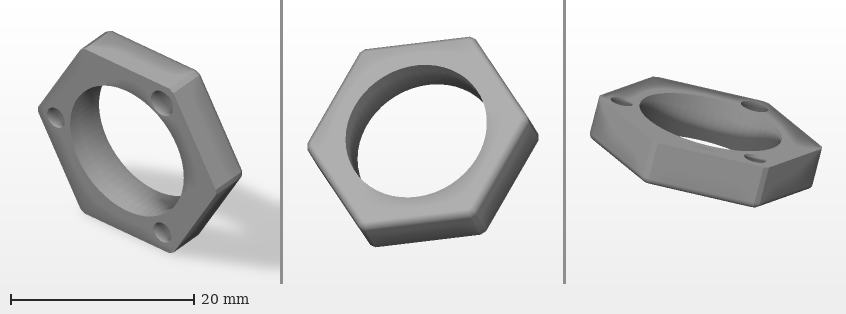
import cadquery as cq
import math

thickness = 5.0
across_flats = 22.0
across_corners = 25.0
back_edge_radius = 0.75
bore_diameter = 16.0

small_hole_pitch_radius = 10.0
large_hole_pitch_radius = 9.9
small_hole_diameter = 2.5
small_hole_depth = 2.5
small_hole_floor_radius = 0.35
small_hole_angles = (180.0, 300.0)
large_hole_diameter = 3.12
large_hole_depth = 2.5
large_hole_angle = 60.0


def front_plane():
    """Workplane on the front face; its normal is -Y, so negative extrusions run into the plate."""
    return cq.Workplane("XZ")


def disc(diameter, length):
    """Cylinder about the part axis, growing from the front face along +Y."""
    return front_plane().circle(diameter / 2).extrude(-length)


def hex_body():
    hexagon_diameter = across_flats / math.cos(math.radians(30))
    hexagon = front_plane().polygon(6, hexagon_diameter).extrude(-thickness)
    trimmed = hexagon.intersect(disc(across_corners, thickness))
    return trimmed.faces(">Y").edges().fillet(back_edge_radius)


def at_polar(tool, pitch_radius, angle):
    x = pitch_radius * math.cos(math.radians(angle))
    z = pitch_radius * math.sin(math.radians(angle))
    return tool.translate((x, 0, z))


def small_hole():
    """Cylinder with a rounded transition from its wall to its flat floor."""
    return disc(small_hole_diameter, small_hole_depth).faces(">Y").edges().fillet(small_hole_floor_radius)


result = hex_body().cut(disc(bore_diameter, thickness))
for hole_angle in small_hole_angles:
    result = result.cut(at_polar(small_hole(), small_hole_pitch_radius, hole_angle))
large_hole = disc(large_hole_diameter, large_hole_depth)
result = result.cut(at_polar(large_hole, large_hole_pitch_radius, large_hole_angle))